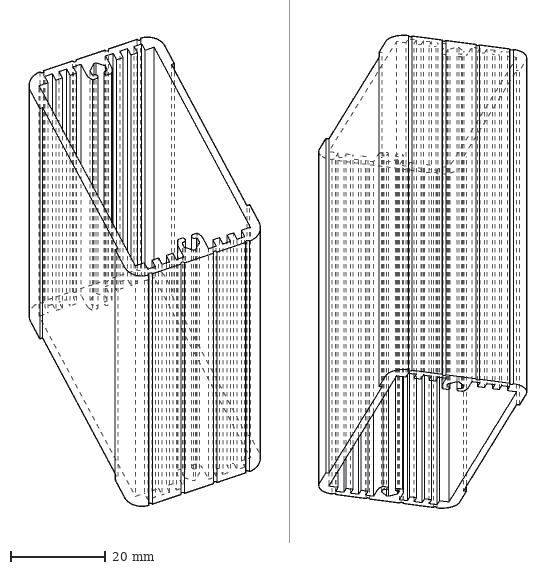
import cadquery as cq
import math

width = 59.0
depth = 31.0
length = 80.0
half_width = width / 2
half_depth = depth / 2
corner_radius = 4.0

pad_width = 9.0
recess_depth = 0.6
wall_inset = 2.2

side_wall = 1.5
guide_inset = 3.4
slot_width = 1.8
guide_width = 1.5
slots_per_half = 3

port_height = 5.7
port_outer_radius = port_height / 2
port_roof = 1.8
port_root_half = 0.2
port_axis_inset = 4.5
port_tip_inset = 6.3
port_root_inset = 2.4
lip_radius = 0.6
port_gap = 1.5

groove_radius = 0.4
groove_pitch = 7.4
groove_count = 4


def bar(x_size, y_size, x=0.0, y=0.0):
    """Full-length rectangular bar centred at (x, y)."""
    return cq.Workplane("XY").center(x, y).rect(x_size, y_size).extrude(length)


def outer_body():
    """Rounded bar with shallow recesses in its front and back faces."""
    body = bar(width, depth).edges("|Z").fillet(corner_radius)
    recess_width = width - 2 * pad_width
    for side in (-1, 1):
        recess_y = side * (half_depth - recess_depth / 2)
        body = body.cut(bar(recess_width, recess_depth, 0, recess_y))
    return body


def cavity():
    """Open inside, reaching out to the tips of the card guides."""
    return bar(width - 2 * guide_inset, depth - 2 * wall_inset)


def guide_slots():
    """Slots on both side walls, stacked outward from the screw ports."""
    slot_depth = guide_inset - side_wall
    slot_x = half_width - side_wall - slot_depth / 2
    first_y = port_outer_radius + slot_width / 2
    centres = []
    for i in range(slots_per_half):
        slot_y = first_y + i * (slot_width + guide_width)
        centres += [(sx * slot_x, sy * slot_y) for sx in (-1, 1) for sy in (-1, 1)]
    return cq.Workplane("XY").pushPoints(centres).rect(slot_depth, slot_width).extrude(length)


def side_grooves():
    """Half-round grooves, evenly spaced on both outer side faces."""
    span = groove_pitch * (groove_count - 1)
    centres = [
        (side * half_width, i * groove_pitch - span / 2)
        for side in (-1, 1)
        for i in range(groove_count)
    ]
    return cq.Workplane("XY").pushPoints(centres).circle(groove_radius).extrude(length)


def screw_port():
    """Hooked screw port on the -X wall, with a V-backed bore open to the cavity."""
    axis_x = port_axis_inset - half_width
    tip_x = port_tip_inset - half_width
    root_x = port_root_inset - half_width
    base_x = side_wall - half_width
    lip_x = tip_x - lip_radius
    lip_y = port_gap / 2 + lip_radius
    inner_x = lip_x - lip_radius

    def on_circle(radius, angle):
        return (axis_x + radius * math.cos(angle), radius * math.sin(angle))

    outer_end = math.acos((tip_x - axis_x) / port_outer_radius)
    bore_end = math.acos((inner_x - axis_x) / port_roof)
    roof_start_x = root_x + port_roof - port_root_half

    upper_half = (
        cq.Workplane("XY")
        .moveTo(base_x, 0)
        .lineTo(base_x, port_outer_radius)
        .lineTo(axis_x, port_outer_radius)
        .threePointArc(
            on_circle(port_outer_radius, (math.pi / 2 + outer_end) / 2),
            on_circle(port_outer_radius, outer_end),
        )
        .lineTo(tip_x, lip_y)
        .threePointArc((lip_x, port_gap / 2), (inner_x, lip_y))
        .lineTo(*on_circle(port_roof, bore_end))
        .threePointArc(
            on_circle(port_roof, (math.pi / 2 + bore_end) / 2),
            (axis_x, port_roof),
        )
        .lineTo(roof_start_x, port_roof)
        .lineTo(root_x, port_root_half)
        .lineTo(root_x, 0)
        .close()
        .extrude(length)
    )
    return upper_half.union(upper_half.mirror("XZ"))


def port_clearance():
    """Clears the side walls where the screw ports are inserted."""
    clear_depth = guide_inset - side_wall
    clear_x = half_width - side_wall - clear_depth / 2
    left = bar(clear_depth, port_height, -clear_x)
    return left.union(left.mirror("YZ"))


left_port = screw_port()
right_port = left_port.mirror("YZ")

result = (
    outer_body()
    .cut(cavity())
    .cut(guide_slots())
    .cut(port_clearance())
    .cut(side_grooves())
    .union(left_port)
    .union(right_port)
    .clean()
)